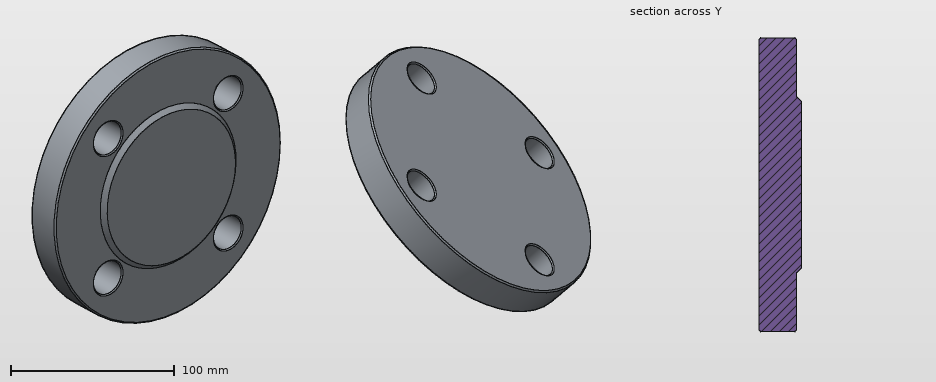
import cadquery as cq
import math

flange_diameter = 180.0
total_thickness = 26.0
raised_face_height = 3.0
raised_face_diameter = 102.0
rim_chamfer = 1.0
bolt_circle_diameter = 135.0
bolt_hole_diameter = 22.0
bolt_hole_chamfer = 0.8
bolt_count = 4
first_bolt_angle = 45.0

plate_thickness = total_thickness - raised_face_height


def make_plate():
    """Round plate with both rim edges chamfered."""
    plate = cq.Workplane("YZ").circle(flange_diameter / 2).extrude(plate_thickness)
    return plate.edges().chamfer(rim_chamfer)


def make_raised_face():
    """Cone frustum with a 45 degree flank that widens toward the plate."""
    top_radius = raised_face_diameter / 2
    base_radius = top_radius + raised_face_height
    frustum = cq.Solid.makeCone(
        base_radius,
        top_radius,
        raised_face_height,
        pnt=cq.Vector(plate_thickness, 0, 0),
        dir=cq.Vector(1, 0, 0),
    )
    return cq.Workplane(obj=frustum)


def make_bolt_hole_cutter(angle):
    """Through-hole cutter with a 45 degree countersink at each face of the plate."""
    hole_radius = bolt_hole_diameter / 2
    mouth_radius = hole_radius + bolt_hole_chamfer
    profile = (
        cq.Workplane("XY")
        .moveTo(0, 0)
        .lineTo(0, mouth_radius)
        .lineTo(bolt_hole_chamfer, hole_radius)
        .lineTo(plate_thickness - bolt_hole_chamfer, hole_radius)
        .lineTo(plate_thickness, mouth_radius)
        .lineTo(plate_thickness, 0)
        .close()
    )
    cutter = profile.revolve(360, (0, 0, 0), (1, 0, 0))
    bolt_circle_radius = bolt_circle_diameter / 2
    y = bolt_circle_radius * math.cos(math.radians(angle))
    z = bolt_circle_radius * math.sin(math.radians(angle))
    return cutter.translate((0, y, z))


flange = make_plate().union(make_raised_face())
for index in range(bolt_count):
    hole_angle = first_bolt_angle + index * 360 / bolt_count
    flange = flange.cut(make_bolt_hole_cutter(hole_angle))

result = flange